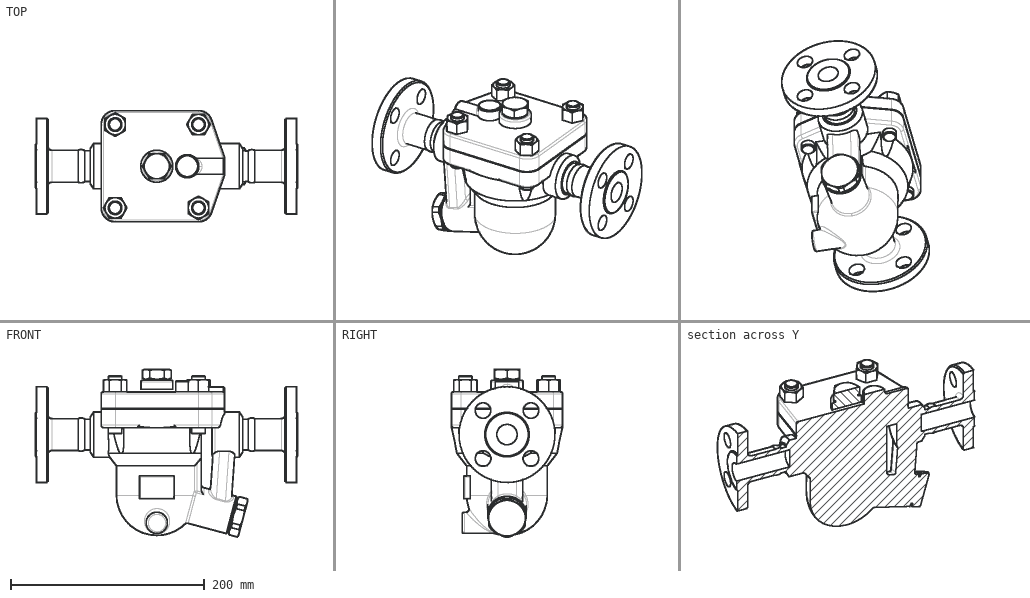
import cadquery as cq
import math


INLET_FACE_X = -125.5
OUTLET_FACE_X = 145.5
FLANGE_R = 99 / 2
FLANGE_T = 12.0
FLANGE_CHAMFER = 1.5
RAISED_R = 46 / 2
RAISED_H = 1.2
RAISED_CHAMFER = 1.0
FLANGE_FILLET = 4.0
PIPE_R = 33.18 / 2
PIPE_END = 44.4
BEAD_W = 6.9
BEAD_RISE = 0.7
STUB_R = 32 / 2
BOSS_TIP = 56.6
BOSS_TIP_R = 36 / 2
BOSS_TAPER = 3.6
BOSS_R = 47 / 2
INLET_BOSS_END_X = -35.0
OUTLET_BOSS_END_X = 56.9
OUTLET_BOSS_FILLET = 3.0
BORE_R = 21 / 2
BOLT_HOLE_D = 16.0
BOLT_CIRCLE_R = 35.0

STUD_XY = 43.0
CORNER_R = 14.5
NOSE_X = 70.0
NOSE_ANGLE = 19.0
COVER_TOP_Z = 44.0
GASKET_T = 0.8
GASKET_INSET = 0.2
SPLIT_Z = 27.0
BODY_FLANGE_Z = 7.0
COVER_FILLET = 2.0
BODY_FLANGE_FILLET = 3.0
NOSE_CUT_TOP_Z = 20.0
NOSE_CUT_DEPTH = 4.6

STUD_R = 14 / 2
STUD_TOP_Z = 60.7
STUD_BOTTOM_Z = 0.6
STUD_CHAMFER = 1.0
NUT_AF = 21.0
NUT_TOP_Z = 56.8
NUT_CORNER_R = NUT_AF / math.sqrt(3)
NUT_CHAMFER_H = 0.9
STUD_POCKET_R = 9.0

COVER_BOSS_X = 31.4
COVER_BOSS_R = 24 / 2
COVER_BOSS_TOP_Z = 55.8
COVER_BOSS_CHAMFER = 1.2
PASSAGE_R = 9.0
PASSAGE_Z = 40.2
PASSAGE_CHAMFER = 1.5
PASSAGE_ROOT_FILLET = 3.0

BOWL_R = 41.8
BOWL_CENTRE_Z = -62.4
CONE_BOTTOM_Z = -32.3
COLLAR_Z = -19.2
COLLAR_R = 52.0
NECK_TOP_R = 57.3
NECK_FLARE_R = 60.2
NECK_FLARE_Z = 8.2
NECK_TOP_Z = 12.0
NECK_LEFT_X = -50.2
NECK_RIGHT_X = 46.0
RIB_HALF_W = 14.5
PLATE_W = 36.0
PLATE_TOP_Z = -42.6
PLATE_BOTTOM_Z = -66.4
PLATE_FACE_Y = -44.7
PLATE_BACK_Y = -37.8
PLATE_FILLET = 1.0
DRAIN_Z = -91.1
DRAIN_R = 22 / 2
DRAIN_END_Y = -46.3
DRAIN_FILLET = 2.0
ROOT_FILLET = 3.0

STRAINER_TILT = 15.0
STRAINER_R = 40 / 2
STRAINER_END = 80.5
STRAINER_CHAMFER = 1.0
STRAINER_NECK_R = 33 / 2
CAP_START = 81.8
CAP_AF = 38.0
CAP_TURNED_R = 41 / 2
CAP_END = 92.3
CAP_CHAMFER_H = 1.0
CAP_CHAMFER_W = 1.5
STRUT_X = 70.6
STRUT_TILT = 4.0
STRUT_W = 22.6
STRUT_DEPTH = 32.0
STRUT_FILLET = 6.5
STRUT_LEN = 72.0
STRUT_ROOT_FILLET = 2.0

PLUG_R = 33.18 / 2
PLUG_BOTTOM_Z = 46.7
PLUG_COLLAR_TOP_Z = 56.2
PLUG_FILLET = 1.8
PLUG_NECK_LEN = 1.0
PLUG_AF = 26.0
PLUG_TOP_Z = 67.3
PLUG_CORNER_R = PLUG_AF / math.sqrt(3)
PLUG_HEX_CHAMFER_H = 1.1


def cylinder_z(radius, bottom, top, x=0, y=0):
    return cq.Workplane("XY", origin=(x, y, bottom)).circle(radius).extrude(top - bottom)


def hexagon(across_flats, height):
    """Hexagonal prism on the XY plane with two corners on the X axis."""
    return cq.Workplane("XY").polygon(6, across_flats / math.cos(math.radians(30))).extrude(height)


def turned_blank(radius, height, chamfer_h, chamfer_w, both_ends=False):
    """Chamfered disc on the XY plane that turns the corners off a hexagon."""
    profile = [(0, 0), (radius, 0), (radius, height - chamfer_h), (radius - chamfer_w, height), (0, height)]
    if both_ends:
        profile[1:2] = [(radius - chamfer_w, 0), (radius, chamfer_h)]
    return cq.Workplane("XZ").polyline(profile).close().revolve(360, (0, 0), (0, 1))


def box_of_edges(x_range, y_half, z_range):
    """Select the edges whose centres lie in a box that is symmetric about the XZ plane."""
    low = (x_range[0], -y_half, z_range[0])
    high = (x_range[1], y_half, z_range[1])
    return cq.selectors.BoxSelector(low, high)


def pipe_end(length):
    """Flange, pipe and boss along +X: raised face at X = 0, boss ending at X = length."""
    flange_back = RAISED_H + FLANGE_T
    bead_end = PIPE_END + BEAD_W
    boss_full = BOSS_TIP + BOSS_TAPER
    end = (
        cq.Workplane("XY")
        .lineTo(0, RAISED_R - RAISED_CHAMFER)
        .lineTo(RAISED_H, RAISED_R)
        .lineTo(RAISED_H, FLANGE_R)
        .lineTo(flange_back - FLANGE_CHAMFER, FLANGE_R)
        .lineTo(flange_back, FLANGE_R - FLANGE_CHAMFER)
        .lineTo(flange_back, PIPE_R + FLANGE_FILLET)
        .radiusArc((flange_back + FLANGE_FILLET, PIPE_R), -FLANGE_FILLET)
        .lineTo(PIPE_END, PIPE_R)
        .threePointArc((PIPE_END + BEAD_W / 2, PIPE_R + BEAD_RISE), (bead_end, STUB_R))
        .lineTo(BOSS_TIP, STUB_R)
        .lineTo(BOSS_TIP, BOSS_TIP_R)
        .lineTo(boss_full, BOSS_R)
        .lineTo(length, BOSS_R)
        .lineTo(length, 0)
        .close()
        .revolve(360, (0, 0), (1, 0))
    )
    bore = cq.Workplane("YZ").circle(BORE_R).extrude(boss_full)
    bolt_holes = (
        cq.Workplane("YZ")
        .polarArray(BOLT_CIRCLE_R, 45, 360, 4)
        .circle(BOLT_HOLE_D / 2)
        .extrude(flange_back)
    )
    return end.cut(bore).cut(bolt_holes)


def flange_plate(bottom, top, inset=0.0):
    """Square plate with rounded corners and a blunt nose toward +X."""
    r = CORNER_R - inset
    nose_x = NOSE_X - inset
    nose_angle = math.radians(NOSE_ANGLE)
    diagonal = r / math.sqrt(2)
    tangent_x = STUD_XY + r * math.cos(nose_angle)
    tangent_y = STUD_XY + r * math.sin(nose_angle)
    nose_y = tangent_y - (nose_x - tangent_x) / math.tan(nose_angle)
    mid_angle = (math.radians(90) + nose_angle) / 2
    mid = (STUD_XY + r * math.cos(mid_angle), STUD_XY + r * math.sin(mid_angle))
    return (
        cq.Workplane("XY", origin=(0, 0, bottom))
        .moveTo(-STUD_XY - r, STUD_XY)
        .threePointArc((-STUD_XY - diagonal, STUD_XY + diagonal), (-STUD_XY, STUD_XY + r))
        .lineTo(STUD_XY, STUD_XY + r)
        .threePointArc(mid, (tangent_x, tangent_y))
        .lineTo(nose_x, nose_y)
        .lineTo(nose_x, -nose_y)
        .lineTo(tangent_x, -tangent_y)
        .threePointArc((mid[0], -mid[1]), (STUD_XY, -STUD_XY - r))
        .lineTo(-STUD_XY, -STUD_XY - r)
        .threePointArc((-STUD_XY - diagonal, -STUD_XY - diagonal), (-STUD_XY - r, -STUD_XY))
        .close()
        .extrude(top - bottom)
    )


def cover():
    plate = flange_plate(SPLIT_Z, COVER_TOP_Z)
    passage_len = NOSE_X - COVER_BOSS_X
    passage = (
        cq.Workplane("YZ", origin=(COVER_BOSS_X, 0, PASSAGE_Z)).circle(PASSAGE_R).extrude(passage_len)
    )
    boss = cylinder_z(COVER_BOSS_R, SPLIT_Z + COVER_FILLET, COVER_BOSS_TOP_Z, COVER_BOSS_X)
    boss = boss.faces(">Z").chamfer(COVER_BOSS_CHAMFER)
    plate = plate.faces(">Z").edges().fillet(COVER_FILLET)
    top = boss.union(passage.faces(">X").chamfer(PASSAGE_CHAMFER))
    root_x = (COVER_BOSS_X, COVER_BOSS_X + COVER_BOSS_R)
    root = box_of_edges(root_x, PASSAGE_R, (PASSAGE_Z, PASSAGE_Z + PASSAGE_R))
    top = top.edges(root).fillet(PASSAGE_ROOT_FILLET)
    return plate.union(top)


def body_flange():
    plate = flange_plate(BODY_FLANGE_Z, SPLIT_Z - GASKET_T)
    plate = plate.faces("<Z").edges().fillet(BODY_FLANGE_FILLET)
    nose_cut = (
        cq.Workplane("XZ")
        .moveTo(NOSE_X, NOSE_CUT_TOP_Z)
        .lineTo(NOSE_X, BODY_FLANGE_Z)
        .lineTo(NOSE_X - NOSE_CUT_DEPTH, BODY_FLANGE_Z)
        .close()
        .extrude(CORNER_R + STUD_XY, both=True)
    )
    gasket = flange_plate(SPLIT_Z - GASKET_T, SPLIT_Z, GASKET_INSET)
    return plate.cut(nose_cut).union(gasket)


def stud_positions():
    return [(sx * STUD_XY, sy * STUD_XY) for sx in (-1, 1) for sy in (-1, 1)]


def stud_with_nut(x, y):
    stud = cylinder_z(STUD_R, STUD_BOTTOM_Z, STUD_TOP_Z).faces("<Z or >Z").chamfer(STUD_CHAMFER)
    nut_height = NUT_TOP_Z - COVER_TOP_Z
    turned = turned_blank(NUT_CORNER_R, nut_height, NUT_CHAMFER_H, NUT_CORNER_R - NUT_AF / 2)
    nut = hexagon(NUT_AF, nut_height).intersect(turned)
    turn = 30 if x * y < 0 else 0
    nut = nut.rotate((0, 0, 0), (0, 0, 1), turn).translate((0, 0, COVER_TOP_Z))
    return stud.union(nut).translate((x, y, 0))


def bowl():
    """Round-bottomed shell with a conical neck, flat toward the pipe ends, hollowed beside the studs."""
    bowl_diagonal = BOWL_R / math.sqrt(2)
    shell = (
        cq.Workplane("XZ")
        .moveTo(0, BOWL_CENTRE_Z - BOWL_R)
        .threePointArc((bowl_diagonal, BOWL_CENTRE_Z - bowl_diagonal), (BOWL_R, BOWL_CENTRE_Z))
        .lineTo(BOWL_R, CONE_BOTTOM_Z)
        .lineTo(COLLAR_R, COLLAR_Z)
        .lineTo(NECK_TOP_R, BODY_FLANGE_Z)
        .lineTo(NECK_FLARE_R, NECK_FLARE_Z)
        .lineTo(NECK_FLARE_R, NECK_TOP_Z)
        .lineTo(0, NECK_TOP_Z)
        .close()
        .revolve(360, (0, 0), (0, 1))
    )
    height = NECK_TOP_Z - BOWL_CENTRE_Z + BOWL_R
    half_y = STUD_XY + CORNER_R
    side_planes = (
        cq.Workplane("XY", origin=((NECK_LEFT_X + NECK_RIGHT_X) / 2, 0, NECK_TOP_Z - height))
        .rect(NECK_RIGHT_X - NECK_LEFT_X, 2 * half_y)
        .extrude(height)
    )
    shell = shell.intersect(side_planes)
    for x, y in stud_positions():
        shell = shell.cut(cylinder_z(STUD_POCKET_R, CONE_BOTTOM_Z, BODY_FLANGE_Z, x, y))
    return shell


def rib():
    """Upright web on the outlet side of the bowl, running down into the strainer branch."""
    height = BODY_FLANGE_Z - BOWL_CENTRE_Z
    web = cq.Workplane("XY", origin=(0, 0, BOWL_CENTRE_Z)).rect(NECK_RIGHT_X, 2 * RIB_HALF_W).extrude(height)
    return web.translate((NECK_RIGHT_X / 2, 0, 0))


def name_plate():
    return (
        cq.Workplane("XZ", origin=(0, PLATE_BACK_Y, (PLATE_TOP_Z + PLATE_BOTTOM_Z) / 2))
        .rect(PLATE_W, PLATE_TOP_Z - PLATE_BOTTOM_Z)
        .extrude(PLATE_BACK_Y - PLATE_FACE_Y)
        .edges("|Y or <Y")
        .fillet(PLATE_FILLET)
    )


def drain_boss():
    return (
        cq.Workplane("XZ", origin=(0, 0, DRAIN_Z))
        .circle(DRAIN_R)
        .extrude(-DRAIN_END_Y)
        .faces("<Y")
        .edges()
        .fillet(DRAIN_FILLET)
    )


def strainer_branch():
    """Tilted strainer cylinder with its hexagon cap, pointing away from the bowl centre."""
    cap_h = CAP_END - CAP_START
    barrel = cylinder_z(STRAINER_R, 0, STRAINER_END).faces(">Z").chamfer(STRAINER_CHAMFER)
    neck = cylinder_z(STRAINER_NECK_R, 0, CAP_START)
    turned = turned_blank(CAP_TURNED_R, cap_h, CAP_CHAMFER_H, CAP_CHAMFER_W, both_ends=True)
    cap = hexagon(CAP_AF, cap_h).intersect(turned).translate((0, 0, CAP_START))
    branch = barrel.union(neck).union(cap)
    return branch.rotate((0, 0, 0), (0, 1, 0), 90 + STRAINER_TILT).translate((0, 0, BOWL_CENTRE_Z))


def strut():
    """Rounded upright linking the outlet boss to the strainer branch."""
    bar = (
        cq.Workplane("XY")
        .rect(STRUT_W, STRUT_DEPTH)
        .extrude(-STRUT_LEN)
        .edges("|Z")
        .fillet(STRUT_FILLET)
    )
    return bar.rotate((0, 0, 0), (0, 1, 0), STRUT_TILT).translate((STRUT_X, 0, 0))


def lower_body():
    """Bowl with its rib, drain boss, strainer branch and name plate, root edges rounded."""
    body = bowl().union(drain_boss())
    drain_root = cq.selectors.BoxSelector(
        (-DRAIN_R, -BOWL_R, DRAIN_Z - DRAIN_R), (DRAIN_R / 2, -DRAIN_R, DRAIN_Z + DRAIN_R)
    )
    body = body.edges(drain_root).fillet(ROOT_FILLET)
    body = body.union(rib()).union(strainer_branch())
    root_start_x = BOWL_R * math.cos(math.radians(STRAINER_TILT + 45))
    branch_root_top = BOWL_CENTRE_Z + STRAINER_R / 2
    branch_root_z = (BOWL_CENTRE_Z - BOWL_R, branch_root_top)
    branch_root = box_of_edges((root_start_x, NECK_RIGHT_X + ROOT_FILLET), STRAINER_R, branch_root_z)
    rib_root_z = (branch_root_top, CONE_BOTTOM_Z - ROOT_FILLET)
    rib_root = box_of_edges((root_start_x, BOWL_R), STRAINER_R, rib_root_z)
    body = body.edges(branch_root + rib_root).fillet(ROOT_FILLET)
    return body.union(name_plate())


def outlet_end():
    outlet = pipe_end(OUTLET_FACE_X - OUTLET_BOSS_END_X).faces(">X").edges().fillet(OUTLET_BOSS_FILLET)
    return outlet.rotate((0, 0, 0), (0, 0, 1), 180).translate((OUTLET_FACE_X, 0, 0))


def make_trap():
    trap = lower_body().union(strut())
    strut_root_x = (STRUT_X - STRUT_W / 2 - STRUT_FILLET, STRUT_X + STRUT_W / 2)
    strut_root_z = (BOWL_CENTRE_Z - STRAINER_R / 2, BOWL_CENTRE_Z + STRAINER_R / 2)
    strut_root = box_of_edges(strut_root_x, STRUT_DEPTH / 2 + STRUT_ROOT_FILLET, strut_root_z)
    trap = trap.edges(strut_root).fillet(STRUT_ROOT_FILLET)
    trap = trap.union(body_flange()).union(cover())
    for x, y in stud_positions():
        trap = trap.union(stud_with_nut(x, y))
    inlet = pipe_end(INLET_BOSS_END_X - INLET_FACE_X).translate((INLET_FACE_X, 0, 0))
    return trap.union(inlet).union(outlet_end())


def make_vent_plug():
    hex_bottom = PLUG_COLLAR_TOP_Z + PLUG_NECK_LEN
    hex_h = PLUG_TOP_Z - hex_bottom
    collar = cylinder_z(PLUG_R, PLUG_BOTTOM_Z, PLUG_COLLAR_TOP_Z).faces(">Z").edges().fillet(PLUG_FILLET)
    neck = cylinder_z(PLUG_AF / 2, PLUG_BOTTOM_Z, hex_bottom)
    chamfer_w = PLUG_CORNER_R - PLUG_AF / 2
    turned = turned_blank(PLUG_CORNER_R, hex_h, PLUG_HEX_CHAMFER_H, chamfer_w, both_ends=True)
    head = hexagon(PLUG_AF, hex_h).intersect(turned).translate((0, 0, hex_bottom))
    return collar.union(neck).union(head)


trap = make_trap()
vent_plug = make_vent_plug()
result = cq.Compound.makeCompound([trap.solids().val(), vent_plug.solids().val()])